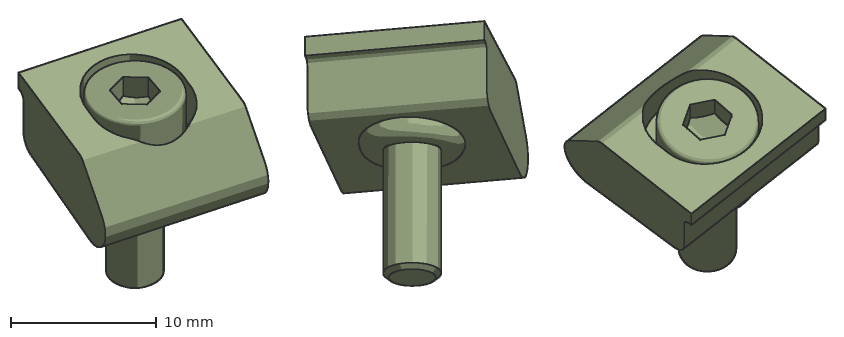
import cadquery as cq
import math

clamp_width = 12.7
clamp_length = 12.7
clamp_top = 16.4
lip_bottom = 15.0
lip_overhang = 0.7
lip_round = 0.6
heel_round = 1.3
nose_radius = 2.0
nose_bottom = 8.97
shoulder_round = 0.8
top_slope = math.radians(6.2)
front_slope = math.radians(46)
bottom_slope = math.radians(9.5)

screw_x = 5.1
shank_radius = 2.0
shank_length = 12.0
tip_chamfer_height = 0.33
tip_chamfer_width = 0.38
head_radius = 3.51
head_height = 4.0
head_round = 0.3
hex_across_flats = 3.0
hex_depth = 1.65
drill_point_depth = 1.0

slot_radius = 3.77
slot_travel = 1.0

ring_section_radius = 0.95
ring_outer_radius = 3.67
ring_bottom = 8.99


def vertical_cylinder(radius, bottom, height):
    """Cylinder on the screw axis."""
    return cq.Workplane("XY", origin=(screw_x, 0, bottom)).circle(radius).extrude(height)


def clamp_blank():
    """Tapered block with an overhanging lip and a rounded nose."""
    nose_x = clamp_length - nose_radius
    nose_z = nose_bottom + nose_radius

    def on_nose(angle):
        """Point of the nose whose outward normal is turned by angle from +Z towards +X."""
        return (nose_x + nose_radius * math.sin(angle), nose_z + nose_radius * math.cos(angle))

    nose_start = on_nose(front_slope)
    nose_end = on_nose(math.pi + bottom_slope)

    front_rise = math.tan(front_slope)
    shoulder_x = (nose_start[1] + front_rise * nose_start[0] - clamp_top) / (front_rise - math.tan(top_slope))
    shoulder_z = clamp_top - shoulder_x * math.tan(top_slope)

    heel_z = nose_end[1] + (nose_end[0] - lip_overhang) * math.tan(bottom_slope)

    blank = (
        cq.Workplane("XZ")
        .moveTo(0, clamp_top)
        .lineTo(shoulder_x, shoulder_z)
        .lineTo(*nose_start)
        .threePointArc((clamp_length, nose_z), nose_end)
        .lineTo(lip_overhang, heel_z)
        .lineTo(lip_overhang, lip_bottom)
        .lineTo(0, lip_bottom)
        .close()
        .extrude(clamp_width / 2, both=True)
    )
    for x, z, radius in (
        (shoulder_x, shoulder_z, shoulder_round),
        (lip_overhang, heel_z, heel_round),
        (lip_overhang, lip_bottom, lip_round),
    ):
        edge = cq.selectors.NearestToPointSelector((x, 0, z))
        blank = blank.edges("|Y").edges(edge).fillet(radius)
    return blank


def head_slot():
    """Straight-walled slot whose floor carries the screw head."""
    return (
        cq.Workplane("XY", origin=(screw_x + slot_travel / 2, 0, shank_length))
        .slot2D(2 * slot_radius + slot_travel, 2 * slot_radius)
        .extrude(clamp_top - shank_length)
    )


def make_screw():
    """Screw with a rounded head, a hexagon socket ending in a drill point, and a chamfered tip."""
    head_top = shank_length + head_height
    core_radius = shank_radius - tip_chamfer_width
    screw = (
        cq.Workplane("XZ", origin=(screw_x, 0, 0))
        .polyline([
            (0, 0),
            (core_radius, 0),
            (shank_radius, tip_chamfer_height),
            (shank_radius, shank_length),
            (head_radius, shank_length),
            (head_radius, head_top),
            (0, head_top),
        ])
        .close()
        .revolve(360, (0, 0), (0, 1))
        .faces(">Z")
        .edges()
        .fillet(head_round)
    )
    hex_corner_radius = hex_across_flats / math.sqrt(3)
    socket = (
        cq.Workplane("XY", origin=(screw_x, 0, head_top - hex_depth))
        .polygon(6, 2 * hex_corner_radius)
        .extrude(hex_depth)
    )
    drill_point = cq.Workplane(
        cq.Solid.makeCone(
            hex_corner_radius,
            0,
            drill_point_depth,
            pnt=cq.Vector(screw_x, 0, head_top - hex_depth),
            dir=cq.Vector(0, 0, -1),
        )
    )
    socket_prism = (
        cq.Workplane("XY", origin=(screw_x, 0, head_top - hex_depth - drill_point_depth))
        .polygon(6, 2 * hex_corner_radius)
        .extrude(drill_point_depth)
    )
    drill_point = drill_point.intersect(socket_prism)
    return screw.cut(socket).cut(drill_point)


def make_o_ring():
    """Round-section ring, flattened on the inside where it grips the shank."""
    torus = (
        cq.Workplane("XZ", origin=(screw_x, 0, ring_bottom + ring_section_radius))
        .center(ring_outer_radius - ring_section_radius, 0)
        .circle(ring_section_radius)
        .revolve(360, (ring_section_radius - ring_outer_radius, 0), (ring_section_radius - ring_outer_radius, 1))
    )
    return torus.cut(vertical_cylinder(shank_radius, 0, shank_length))


def make_clamp(ring):
    """Block with the head slot, the shank hole and a groove that matches the O-ring."""
    shank_hole = vertical_cylinder(shank_radius, 0, shank_length)
    return clamp_blank().cut(head_slot()).cut(shank_hole).cut(ring)


screw = make_screw()
o_ring = make_o_ring()
clamp = make_clamp(o_ring)

result = cq.Compound.makeCompound([clamp.val(), screw.val(), o_ring.val()])